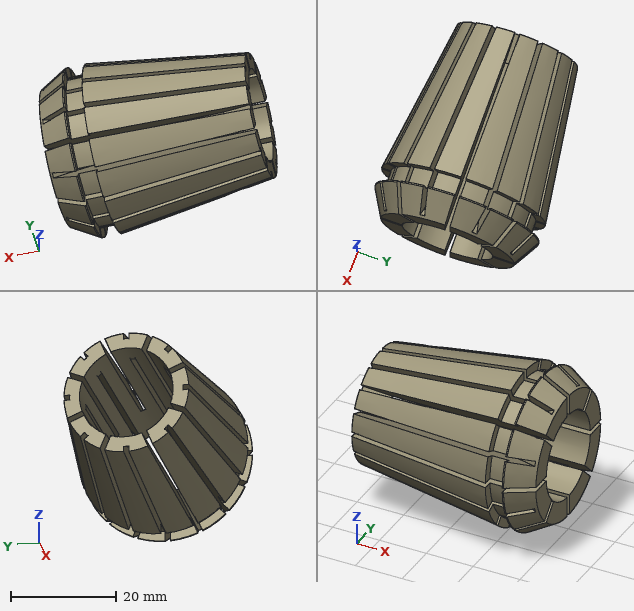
import cadquery as cq
import math

length = 40.0
max_diameter = 33.0
taper_angle = 8.0
nose_angle = 30.0
bore_radius = 9.1
groove_radius = 14.6
groove_start = 30.8
groove_end = 34.4
rim_width = 0.3

slots_per_end = 8
slot_width = 1.0
saw_radius = 40.0
saw_tip_radius = 7.7
back_slot_floor = 11.1
front_slot_end = 39.5
overrun = 2.0

max_radius = max_diameter / 2
nose_start = groove_end + rim_width
nose_slope = math.tan(math.radians(nose_angle))
small_end_radius = max_radius - groove_start * math.tan(math.radians(taper_angle))
large_end_radius = max_radius - (length - nose_start) * nose_slope


def make_body():
    """Ring profile with both cones, the rim and the clamping groove."""
    profile = [
        (0, bore_radius),
        (0, small_end_radius),
        (groove_start, max_radius),
        (groove_start, groove_radius),
        (groove_end, groove_radius),
        (groove_end, max_radius),
        (nose_start, max_radius),
        (length, large_end_radius),
        (length, bore_radius),
    ]
    return cq.Workplane("XY").polyline(profile).close().revolve(360, (0, 0, 0), (1, 0, 0))


def saw_reach(radius):
    """Axial distance from the saw centre to its edge at a given distance from the part axis."""
    return math.sqrt(saw_radius**2 - (saw_tip_radius + saw_radius - radius) ** 2)


def make_slot(saw_x, open_x):
    """Slot along +Z: a saw disc stopped at saw_x after entering from the end open_x."""
    saw_z = saw_tip_radius + saw_radius
    disc = (
        cq.Workplane("XZ")
        .center(saw_x, saw_z)
        .circle(saw_radius)
        .extrude(slot_width / 2, both=True)
    )
    path = (
        cq.Workplane("XZ")
        .moveTo(saw_x, saw_tip_radius)
        .lineTo(open_x, saw_tip_radius)
        .lineTo(open_x, saw_z)
        .lineTo(saw_x, saw_z)
        .close()
        .extrude(slot_width / 2, both=True)
    )
    return disc.union(path)


def cut_slots(body, slot, first_angle):
    """Cut one slot at equal steps around the X axis."""
    step = 360 / slots_per_end
    for i in range(slots_per_end):
        body = body.cut(slot.rotate((0, 0, 0), (1, 0, 0), first_angle + i * step))
    return body


front_slot_end_radius = large_end_radius + (length - front_slot_end) * nose_slope
front_saw_x = front_slot_end - saw_reach(front_slot_end_radius)
back_saw_x = saw_reach(back_slot_floor)

result = make_body()
result = cut_slots(result, make_slot(back_saw_x, length + overrun), 0)
result = cut_slots(result, make_slot(front_saw_x, -overrun), 180 / slots_per_end)